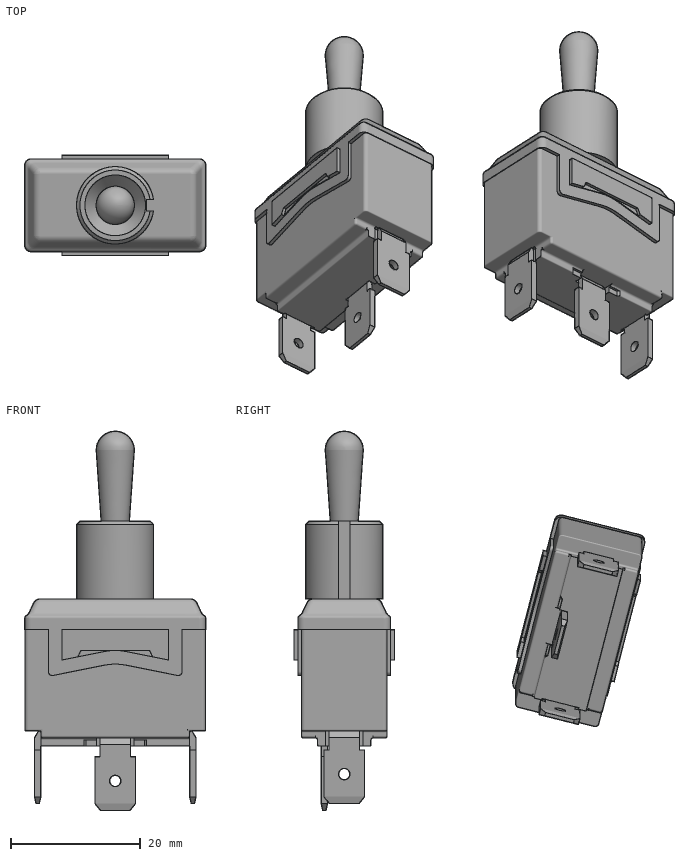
import cadquery as cq
import math


length = 28.0
half_length = length / 2

housing_length = 27.9
housing_width = 13.25
housing_corner = 0.6
ledge_z = 12.3
ledge_edge_fillet = 0.2

step_half_length = 11.5
step_z = 11.2
step_corner_fillet = 0.35
step_fillet = 0.32
foot_half_width = 8.25 / 2
foot_z = 9.95
foot_edge_fillet = 0.2
recess_half_width = 5.8 / 2
foot_flank_half_length = 4.85
foot_flank_depth = 0.35
end_recess_depth = 0.25

cover_width = 14.35
cover_corner = 1.05
skirt_z = 27.95
cover_top_z = 32.7
valley_z = 30.3
valley_inset = 0.555
top_inset = 1.7
flare_pitch = 32.0
flare_overhang = 1.2
rim_fillet = 0.555
valley_fillet = 0.9
cover_top_fillet = 1.1

flap_half_length = 10.3
flap_peak_z = 22.6
flap_corner = 0.6
pad_half_length = 16.45 / 2
pad_peak_z = 24.7
overall_width = 15.5
chevron_arc_half = 1.65
chevron_slope = 0.2
notch_top_half = 5.3
notch_bottom_half = 5.8
notch_lip = 0.1

bushing_diameter = 11.95
bushing_top_z = 44.7
bushing_chamfer = 0.5
mouth_diameter = 9.4
bore_diameter = 5.4
bore_floor_z = 42.25
keyway_width = 1.75
keyway_bottom_x = 4.8

lever_top_z = 58.6
ball_radius = 5.9 / 2
lever_rim_diameter = 4.4

blade_half_width = 6.25 / 2
neck_half_width = 4.75 / 2
blade_shoulder_z = 8.3
blade_thickness = 1.0
blade_root_z = 11.7
tip_length = 1.05
tip_half_width = 2.3
tip_bevel = 0.25
bend_start_z = 10.2
bend_end_z = step_z
bend_depth = 0.6
blade_hole_diameter = 1.7
blade_hole_z = 4.6
center_blade_y = -2.6
end_blade_lift = 1.05

pick_margin = 0.05


def block(half_x, half_y, z_low, z_high):
    return (
        cq.Workplane("XY")
        .workplane(offset=z_low)
        .rect(2 * half_x, 2 * half_y)
        .extrude(z_high - z_low)
    )


def band(z):
    """Selector for everything that lies within a thin level slice around Z = z."""
    return cq.selectors.BoxSelector(
        (-length, -length, z - pick_margin), (length, length, z + pick_margin)
    )


def make_housing():
    half_width = housing_width / 2
    body = block(housing_length / 2, half_width, ledge_z, skirt_z)
    body = body.edges("|Z").fillet(housing_corner)
    body = body.faces("<Z").edges().fillet(ledge_edge_fillet)
    step = block(step_half_length, half_width, step_z, ledge_z + housing_corner)
    step = step.edges("|Z").fillet(step_corner_fillet)
    step = step.faces("<Z").edges().fillet(step_fillet)
    inner_corners = cq.selectors.BoxSelector(
        (-step_half_length - pick_margin, -length, ledge_z - pick_margin),
        (step_half_length + pick_margin, length, ledge_z + pick_margin),
    )
    return body.union(step).edges("|Y").edges(inner_corners).fillet(step_fillet)


def make_foot():
    """Foot that flares into the step and is recessed around the terminal roots."""
    flare = step_fillet
    profile = (
        cq.Workplane("YZ")
        .moveTo(-foot_half_width - flare, step_z)
        .radiusArc((-foot_half_width, step_z - flare), flare)
        .lineTo(-foot_half_width, foot_z)
        .lineTo(foot_half_width, foot_z)
        .lineTo(foot_half_width, step_z - flare)
        .radiusArc((foot_half_width + flare, step_z), flare)
        .lineTo(foot_half_width + flare, ledge_z)
        .lineTo(-foot_half_width - flare, ledge_z)
        .close()
    )
    foot = profile.extrude(step_half_length, both=True)
    foot = foot.faces("<Z").edges("|X").fillet(foot_edge_fillet)

    flank_floor = -foot_half_width + foot_flank_depth
    flank = (
        cq.Workplane("XY")
        .workplane(offset=foot_z)
        .polyline([
            (-foot_flank_half_length, -foot_half_width),
            (-foot_flank_half_length + foot_flank_depth, flank_floor),
            (foot_flank_half_length - foot_flank_depth, flank_floor),
            (foot_flank_half_length, -foot_half_width),
        ])
        .close()
        .extrude(step_z - step_fillet - foot_z)
    )
    recess_outer_y = -housing_width / 2
    root_recess = (
        cq.Workplane("XY")
        .workplane(offset=foot_z)
        .center(0, (recess_outer_y + center_blade_y) / 2)
        .rect(2 * recess_half_width, center_blade_y - recess_outer_y)
        .extrude(step_z - foot_z)
    )
    return foot.cut(flank).cut(root_recess)


def make_end_recesses():
    """Shallow recesses in the foot ends, behind the end terminals."""
    recess = block(end_recess_depth, recess_half_width, foot_z, ledge_z)
    return recess.translate((step_half_length, 0, 0)).union(recess.translate((-step_half_length, 0, 0)))


def roof_prism(plane, half_span, run_direction):
    """Roof section across one span, flared past the skirt and extruded along the other."""
    flare_z = valley_z - (valley_inset + flare_overhang) * math.tan(math.radians(flare_pitch))
    half_profile = [
        (-half_span - flare_overhang, skirt_z),
        (-half_span - flare_overhang, flare_z),
        (-half_span + valley_inset, valley_z),
        (-half_span + top_inset, cover_top_z),
    ]
    mirrored = [(-across, z) for across, z in reversed(half_profile)]
    prism = cq.Workplane(plane).polyline(half_profile + mirrored).close().extrude(length, both=True)
    prism = prism.edges(run_direction).edges(band(valley_z)).fillet(valley_fillet)
    return prism.edges(run_direction).edges(band(cover_top_z)).fillet(cover_top_fillet)


def make_cover():
    """Hipped roof with rounded corners, trimmed to the skirt outline and rounded at the rim."""
    roof = roof_prism("XZ", half_length, "|Y").intersect(roof_prism("YZ", cover_width / 2, "|X"))
    roof = roof.edges("not(|X or |Y or |Z)").fillet(cover_corner)
    skirt = block(half_length, cover_width / 2, skirt_z, cover_top_z).edges("|Z").fillet(cover_corner)
    cover = roof.intersect(skirt)
    rim_z = valley_z - valley_inset * math.tan(math.radians(flare_pitch))
    return cover.edges(band(rim_z)).fillet(rim_fillet)


def chevron_z(x, peak_z):
    """Height of the sloping lower edge at a distance x from the peak."""
    lean = math.atan(chevron_slope)
    peak_rise = chevron_arc_half * math.tan(lean / 2)
    return peak_z - peak_rise - chevron_slope * (x - chevron_arc_half)


def chevron_plate(half_length_x, peak_z, top_z, half_depth):
    """Plate across the whole width whose lower edge rises to a short rounded peak."""
    end_z = chevron_z(half_length_x, peak_z)
    start_z = chevron_z(chevron_arc_half, peak_z)
    return (
        cq.Workplane("XZ")
        .moveTo(-half_length_x, top_z)
        .lineTo(-half_length_x, end_z)
        .lineTo(-chevron_arc_half, start_z)
        .threePointArc((0, peak_z), (chevron_arc_half, start_z))
        .lineTo(half_length_x, end_z)
        .lineTo(half_length_x, top_z)
        .close()
        .extrude(half_depth, both=True)
    )


def make_flaps():
    flaps = chevron_plate(flap_half_length, flap_peak_z, skirt_z, cover_width / 2)
    corner_z = chevron_z(flap_half_length, flap_peak_z)
    return flaps.edges("|Y").edges(band(corner_z)).fillet(flap_corner)


def make_pads():
    pads = chevron_plate(pad_half_length, pad_peak_z, skirt_z, overall_width / 2)
    notch_bottom_z = chevron_z(notch_bottom_half, pad_peak_z)
    lip_y = cover_width / 2 + notch_lip
    notch = (
        cq.Workplane("XZ", origin=(0, -lip_y, 0))
        .polyline([
            (-notch_top_half, pad_peak_z),
            (notch_top_half, pad_peak_z),
            (notch_bottom_half, notch_bottom_z),
            (notch_bottom_half, flap_peak_z),
            (-notch_bottom_half, flap_peak_z),
            (-notch_bottom_half, notch_bottom_z),
        ])
        .close()
        .extrude(overall_width)
    )
    return pads.cut(notch).cut(notch.mirror("XZ"))


def make_bushing():
    bushing = (
        cq.Workplane("XY")
        .workplane(offset=cover_top_z)
        .circle(bushing_diameter / 2)
        .extrude(bushing_top_z - cover_top_z)
        .faces(">Z")
        .chamfer(bushing_chamfer)
    )
    mouth = (
        cq.Workplane("XZ")
        .polyline([
            (0, bore_floor_z),
            (bore_diameter / 2, bore_floor_z),
            (mouth_diameter / 2, bushing_top_z),
            (0, bushing_top_z),
        ])
        .close()
        .revolve(360, (0, 0), (0, 1))
    )
    keyway = (
        cq.Workplane("XY")
        .workplane(offset=cover_top_z)
        .center(keyway_bottom_x + bushing_diameter / 2, 0)
        .rect(bushing_diameter, keyway_width)
        .extrude(bushing_top_z - cover_top_z)
    )
    return bushing.cut(mouth).cut(keyway)


def make_lever():
    """Tapered lever with a ball end, standing on the floor of the bushing bore."""
    ball_z = lever_top_z - ball_radius
    taper = (ball_radius - lever_rim_diameter / 2) / (ball_z - bushing_top_z)
    foot_radius = ball_radius - taper * (ball_z - bore_floor_z)
    return (
        cq.Workplane("XZ")
        .moveTo(0, bore_floor_z)
        .lineTo(foot_radius, bore_floor_z)
        .lineTo(ball_radius, ball_z)
        .radiusArc((0, lever_top_z), -ball_radius)
        .close()
        .revolve(360, (0, 0), (0, 1))
    )


def make_blade():
    """Terminal facing -Y with its inner face on Y = 0 and its tip on Z = 0."""
    half_outline = [
        (tip_half_width, 0),
        (blade_half_width, tip_length),
        (blade_half_width, blade_shoulder_z),
        (neck_half_width, blade_shoulder_z),
        (neck_half_width, blade_root_z),
    ]
    mirrored = [(-x, z) for x, z in reversed(half_outline)]
    plate = cq.Workplane("XZ").polyline(half_outline + mirrored).close().extrude(blade_thickness)
    side_profile = (
        cq.Workplane("YZ")
        .polyline([
            (-tip_bevel, 0),
            (0, tip_length),
            (0, blade_root_z),
            (bend_depth - blade_thickness, blade_root_z),
            (bend_depth - blade_thickness, bend_end_z),
            (-blade_thickness, bend_start_z),
            (-blade_thickness, tip_length),
            (tip_bevel - blade_thickness, 0),
        ])
        .close()
        .extrude(blade_half_width, both=True)
    )
    hole = (
        cq.Workplane("XZ")
        .center(0, blade_hole_z)
        .circle(blade_hole_diameter / 2)
        .extrude(blade_thickness)
    )
    return plate.intersect(side_profile).cut(hole)


blade = make_blade()
center_terminal = blade.translate((0, center_blade_y, 0))
left_terminal = blade.rotate((0, 0, 0), (0, 0, 1), -90).translate((-step_half_length, 0, end_blade_lift))
right_terminal = left_terminal.mirror("YZ")

result = make_housing().union(make_foot()).cut(make_end_recesses())
for piece in (
    make_cover(),
    make_flaps(),
    make_pads(),
    make_bushing(),
    make_lever(),
    center_terminal,
    left_terminal,
    right_terminal,
):
    result = result.union(piece)